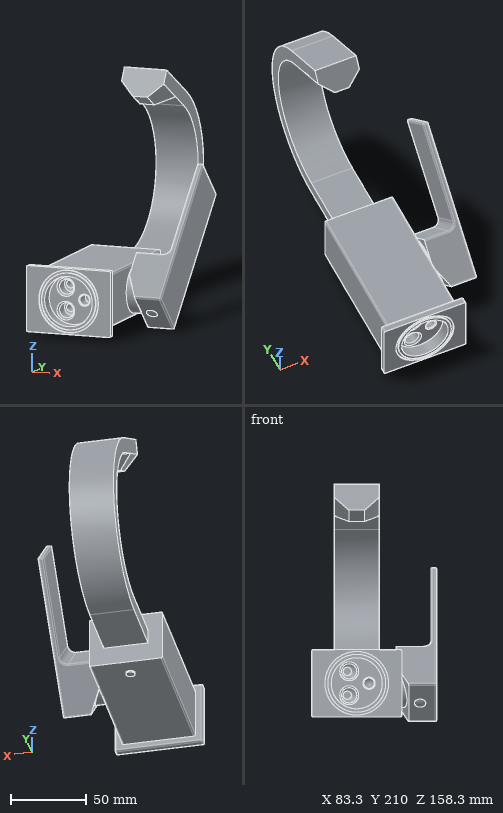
import cadquery as cq
import math


PLATE_WIDTH = 60.0
PLATE_HEIGHT = 45.0
PLATE_THICKNESS = 5.0
COLUMN_WIDTH = 50.0
COLUMN_HEIGHT = 36.1
COLUMN_END = 105.0
EDGE_ROUND = 1.0

GROOVE_OUTER_DIAMETER = 42.5
GROOVE_INNER_DIAMETER = 38.6
GROOVE_DEPTH = 1.0
RECESS_DIAMETER = 34.0
RECESS_DEPTH = 8.5
HOSE_HOLE_DIAMETER = 10.0
HOSE_HOLE_X = -5.0
HOSE_HOLE_Z = 8.0
STUD_HOLE_DIAMETER = 7.0
STUD_HOLE_X = 8.2
HOLE_DEPTH = 10.5
HOLE_END_BULGE = 2.0
HOSE_HOLE_CHAMFER = 1.3
STUD_HOLE_CHAMFER = 0.6
CHANNEL_DIAMETER = 5.5
CHANNEL_X = -6.3
CHANNEL_LENGTH = 10.5

OVERALL_LENGTH = 210.0
SPOUT_WIDTH = 30.2
SPOUT_THICKNESS = 10.0
SPOUT_OUTER_RADIUS = 62.4
SPOUT_TIP_LENGTH = 42.8
SPOUT_TIP_SLOPE = 30.0

NOZZLE_DEPTH = 10.0
NOZZLE_MOUTH_WIDTH = 10.5
NOZZLE_MOUTH_LENGTH = 15.0
NOZZLE_ROOT_LENGTH = 25.0

SCREW_DIAMETER = 6.0
SCREW_Y = 91.1
SCREW_RIM_HEIGHT = 1.0
SCREW_DOME_HEIGHT = 0.6

STEM_DIAMETER = 32.3
STEM_Y = 58.2
STEM_INSERTION = 8.5
LEVER_GAP = 1.3
LEVER_DEPTH = 27.0
LEVER_WIDTH = 35.7
HUB_TOP = 17.6
HUB_BOTTOM = 18.7
PADDLE_END = 91.8
LEVER_TILT = 45.0
PADDLE_THICKNESS = 4.0
PADDLE_FILLET = 5.0
BEVEL_LENGTH = 17.2
BEVEL_DEPTH = 8.5
SET_SCREW_DIAMETER = 7.5
SET_SCREW_HEIGHT = 0.8
SET_SCREW_INSET = 16.0

LEVER_INNER_X = COLUMN_WIDTH / 2 + LEVER_GAP
LEVER_OUTER_X = LEVER_INNER_X + LEVER_DEPTH


def cylinder_along_y(diameter, start, length, x=0.0, z=0.0):
    base = cq.Vector(x, start, z)
    return cq.Workplane(cq.Solid.makeCylinder(diameter / 2, length, base, cq.Vector(0, 1, 0)))


def spherical_cap(diameter, height):
    """Cap with its flat base at Y = 0, bulging toward +Y."""
    radius = diameter / 2
    sphere_radius = (radius**2 + height**2) / (2 * height)
    half_angle = math.asin(radius / sphere_radius) / 2
    mid_height = height - sphere_radius * (1 - math.cos(half_angle))
    return (
        cq.Workplane("XY")
        .lineTo(radius, 0)
        .threePointArc((sphere_radius * math.sin(half_angle), mid_height), (0, height))
        .close()
        .revolve(360, (0, 0, 0), (0, 1, 0))
    )


def round_ended_hole(diameter, chamfer, x, z):
    """Blind hole in the recess floor, with a chamfered mouth and a rounded end."""
    bore = cylinder_along_y(diameter, RECESS_DEPTH, HOLE_DEPTH, x, z)
    mouth_centre = cq.Vector(x, RECESS_DEPTH, z)
    mouth = cq.Solid.makeCone(diameter / 2 + chamfer, diameter / 2, chamfer, mouth_centre, cq.Vector(0, 1, 0))
    end = spherical_cap(diameter, HOLE_END_BULGE).translate((x, RECESS_DEPTH + HOLE_DEPTH, z))
    return bore.union(cq.Workplane(mouth)).union(end)


def make_column():
    plate = cq.Workplane("XY").box(PLATE_WIDTH, PLATE_THICKNESS, PLATE_HEIGHT, centered=(True, False, True))
    plate = plate.edges("|Y or >Y").fillet(EDGE_ROUND)
    column = cq.Workplane("XY").box(COLUMN_WIDTH, COLUMN_END, COLUMN_HEIGHT, centered=(True, False, True))
    column = column.edges("|Y").fillet(EDGE_ROUND)
    return plate.union(column)


def cut_plate_face(column):
    groove = cylinder_along_y(GROOVE_OUTER_DIAMETER, 0, GROOVE_DEPTH)
    groove = groove.cut(cylinder_along_y(GROOVE_INNER_DIAMETER, 0, GROOVE_DEPTH))
    column = column.cut(groove).cut(cylinder_along_y(RECESS_DIAMETER, 0, RECESS_DEPTH))
    column = column.cut(round_ended_hole(STUD_HOLE_DIAMETER, STUD_HOLE_CHAMFER, STUD_HOLE_X, 0))
    for side in (-1, 1):
        hole_z = side * HOSE_HOLE_Z
        hole = round_ended_hole(HOSE_HOLE_DIAMETER, HOSE_HOLE_CHAMFER, HOSE_HOLE_X, hole_z)
        channel_start = RECESS_DEPTH + HOLE_DEPTH
        channel = cylinder_along_y(CHANNEL_DIAMETER, channel_start, CHANNEL_LENGTH, CHANNEL_X, hole_z)
        column = column.cut(hole).cut(channel)
    return column


def make_spout():
    slope = math.radians(SPOUT_TIP_SLOPE)
    bend_y = OVERALL_LENGTH - SPOUT_OUTER_RADIUS
    bend_z = SPOUT_OUTER_RADIUS - SPOUT_THICKNESS / 2

    def on_bend(radius, angle):
        return bend_y + radius * math.cos(angle), bend_z + radius * math.sin(angle)

    def at_tip(depth, back):
        """Point `depth` below the top of the tip and `back` behind its end face."""
        y, z = on_bend(SPOUT_OUTER_RADIUS - depth, tip_angle)
        run = SPOUT_TIP_LENGTH - back
        return y - run * math.cos(slope), z + run * math.sin(slope)

    tip_angle = math.pi / 2 - slope
    middle_angle = (tip_angle - math.pi / 2) / 2
    inner_radius = SPOUT_OUTER_RADIUS - SPOUT_THICKNESS
    bar = (
        cq.Workplane("YZ")
        .moveTo(COLUMN_END, -SPOUT_THICKNESS / 2)
        .lineTo(*on_bend(SPOUT_OUTER_RADIUS, -math.pi / 2))
        .threePointArc(on_bend(SPOUT_OUTER_RADIUS, middle_angle), on_bend(SPOUT_OUTER_RADIUS, tip_angle))
        .lineTo(*at_tip(0, 0))
        .lineTo(*at_tip(SPOUT_THICKNESS, 0))
        .lineTo(*on_bend(inner_radius, tip_angle))
        .threePointArc(on_bend(inner_radius, middle_angle), on_bend(inner_radius, -math.pi / 2))
        .lineTo(COLUMN_END, SPOUT_THICKNESS / 2)
        .close()
        .extrude(SPOUT_WIDTH / 2, both=True)
    )

    nozzle_bottom = SPOUT_THICKNESS + NOZZLE_DEPTH
    side_profile = (
        cq.Workplane("YZ")
        .polyline([
            at_tip(SPOUT_THICKNESS, 0),
            at_tip(nozzle_bottom, 0),
            at_tip(nozzle_bottom, NOZZLE_MOUTH_LENGTH),
            at_tip(SPOUT_THICKNESS, NOZZLE_ROOT_LENGTH),
        ])
        .close()
        .extrude(SPOUT_WIDTH / 2, both=True)
    )
    root_y, root_z = at_tip(SPOUT_THICKNESS, 0)
    end_plane = cq.Plane(
        origin=(0, root_y, root_z),
        xDir=(-1, 0, 0),
        normal=(0, math.cos(slope), -math.sin(slope)),
    )
    end_profile = (
        cq.Workplane(end_plane)
        .polyline([
            (-SPOUT_WIDTH / 2, 0),
            (SPOUT_WIDTH / 2, 0),
            (NOZZLE_MOUTH_WIDTH / 2, -NOZZLE_DEPTH),
            (-NOZZLE_MOUTH_WIDTH / 2, -NOZZLE_DEPTH),
        ])
        .close()
        .extrude(NOZZLE_ROOT_LENGTH)
    )
    return bar.union(side_profile.intersect(end_profile))


def make_stem():
    """Round stem from the column's side into the lever."""
    length = LEVER_GAP + STEM_INSERTION
    start = cq.Vector(COLUMN_WIDTH / 2, STEM_Y, 0)
    return cq.Workplane(cq.Solid.makeCylinder(STEM_DIAMETER / 2, length, start, cq.Vector(1, 0, 0)))


def make_locking_screw():
    """Rounded screw head standing out of the column's underside."""
    dome = spherical_cap(SCREW_DIAMETER, SCREW_DOME_HEIGHT).translate((0, SCREW_RIM_HEIGHT, 0))
    head = cylinder_along_y(SCREW_DIAMETER, 0, SCREW_RIM_HEIGHT).union(dome)
    return head.rotate((0, 0, 0), (1, 0, 0), -90).translate((0, SCREW_Y, -COLUMN_HEIGHT / 2))


def make_faucet():
    faucet = cut_plate_face(make_column())
    return faucet.union(make_spout()).union(make_stem()).union(make_locking_screw())


def make_lever():
    """Lever modelled along Y with its pivot on the X axis, then tilted and moved to the stem."""
    paddle_x = LEVER_OUTER_X - PADDLE_THICKNESS
    half_width = LEVER_WIDTH / 2
    lever = (
        cq.Workplane("XY")
        .polyline([
            (LEVER_INNER_X, HUB_TOP),
            (LEVER_INNER_X, BEVEL_LENGTH - HUB_BOTTOM),
            (LEVER_INNER_X + BEVEL_DEPTH, -HUB_BOTTOM),
            (LEVER_OUTER_X, -HUB_BOTTOM),
            (LEVER_OUTER_X, PADDLE_END),
            (paddle_x, PADDLE_END),
            (paddle_x, HUB_TOP),
        ])
        .close()
        .extrude(half_width, both=True)
    )
    inside_corner = cq.selectors.NearestToPointSelector((paddle_x, HUB_TOP, 0))
    lever = lever.edges(inside_corner).fillet(PADDLE_FILLET)

    margin = EDGE_ROUND / 2
    rounded = lever.faces(">X or >Y").edges().add(lever.faces("<Y").edges("|X"))
    for side in (-half_width, half_width):
        side_edges = cq.selectors.BoxSelector(
            (LEVER_INNER_X, HUB_TOP - margin, side - margin),
            (LEVER_OUTER_X - margin, PADDLE_END - margin, side + margin),
        )
        rounded = rounded.add(lever.edges(side_edges))
    lever = lever.newObject(rounded.vals()).fillet(EDGE_ROUND)

    bore = cq.Solid.makeCylinder(
        STEM_DIAMETER / 2, STEM_INSERTION, cq.Vector(LEVER_INNER_X, 0, 0), cq.Vector(1, 0, 0)
    )
    set_screw = spherical_cap(SET_SCREW_DIAMETER, SET_SCREW_HEIGHT).rotate((0, 0, 0), (1, 0, 0), 180)
    set_screw = set_screw.translate((LEVER_INNER_X + SET_SCREW_INSET, -HUB_BOTTOM, 0))
    lever = lever.cut(cq.Workplane(bore)).union(set_screw)
    return lever.rotate((0, 0, 0), (1, 0, 0), LEVER_TILT).translate((0, STEM_Y, 0))


faucet = make_faucet()
lever = make_lever()
result = cq.Compound.makeCompound([faucet.solids().val(), lever.solids().val()])